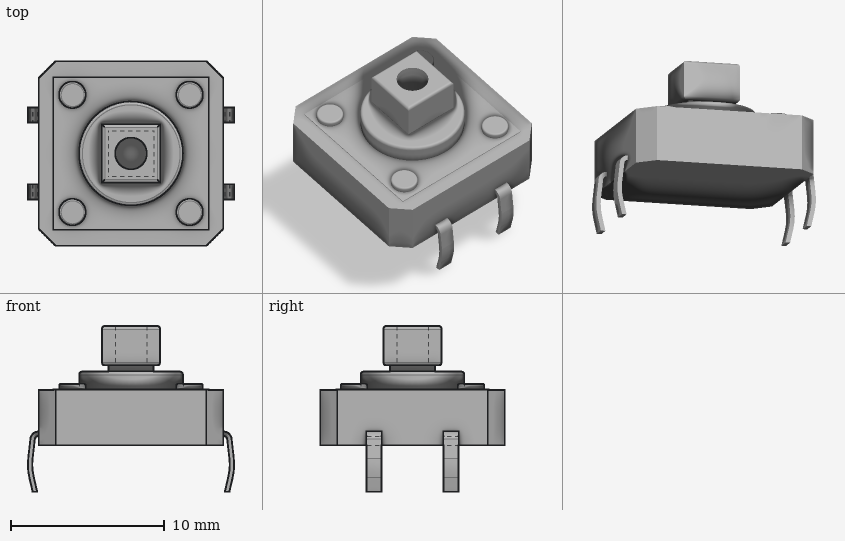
import cadquery as cq
import math


base_width = 12.0
base_depth = 12.01
base_height = 3.6
corner_chamfer = 1.1

plate_width = 10.1
plate_depth = 9.9
plate_thickness = 0.05

rivet_diameter = 1.73
rivet_spacing = 7.62
rivet_top = 4.0
rivet_fillet = 0.12

collar_diameter = 6.76
collar_top = 4.8
collar_fillet = 0.2

neck_side = 2.95
key_side = 3.78
key_bottom = 5.19
key_top = 7.76
key_fillet = 0.2
key_hole_diameter = 2.06
key_hole_depth = key_top - key_bottom

pin_span = 13.42
pin_width = 1.0
pin_pitch = 5.0
pin_thickness = 0.3
pin_tip = -3.03
pin_embed = 0.5
pin_bend_height = 0.36
pin_bow_radius = 3.7
pin_bow_height = -1.25
upper_lean = math.radians(6.5)
lower_lean = math.radians(13.0)


def make_base():
    block = cq.Workplane("XY").box(base_width, base_depth, base_height, centered=(True, True, False))
    return block.edges("|Z").chamfer(corner_chamfer)


def make_plate():
    plate = cq.Workplane("XY").workplane(offset=base_height)
    return plate.rect(plate_width, plate_depth).extrude(plate_thickness)


def make_rivets():
    rivets = cq.Workplane("XY").workplane(offset=base_height)
    rivets = rivets.rect(rivet_spacing, rivet_spacing, forConstruction=True).vertices()
    rivets = rivets.circle(rivet_diameter / 2).extrude(rivet_top - base_height)
    return rivets.faces(">Z").edges().fillet(rivet_fillet)


def make_collar():
    collar = cq.Workplane("XY").workplane(offset=base_height)
    collar = collar.circle(collar_diameter / 2).extrude(collar_top - base_height)
    return collar.faces(">Z").edges().fillet(collar_fillet)


def make_key():
    neck = cq.Workplane("XY").workplane(offset=collar_top)
    neck = neck.rect(neck_side, neck_side).extrude(key_bottom - collar_top)
    key = cq.Workplane("XY").workplane(offset=key_bottom)
    key = key.rect(key_side, key_side).extrude(key_top - key_bottom)
    key = key.faces("<Z or >Z").edges().fillet(key_fillet)
    key = key.faces(">Z").workplane().hole(key_hole_diameter, key_hole_depth)
    return neck.union(key)


bow_center = (pin_span / 2 - pin_bow_radius, pin_bow_height)
bend_center = (base_width / 2, pin_bend_height)
bend_run = bend_center[0] - bow_center[0]
bend_rise = bend_center[1] - bow_center[1]
pin_bend_radius = pin_bow_radius - bend_run * math.cos(upper_lean) - bend_rise * math.sin(upper_lean)


def on_arc(center, radius, angle):
    return (center[0] + radius * math.cos(angle), center[1] + radius * math.sin(angle))


def pin_side(inset):
    """Points along one side of the terminal, from the base outward and down to the tip."""
    bend_radius = pin_bend_radius - inset
    bow_radius = pin_bow_radius - inset
    bend_top = on_arc(bend_center, bend_radius, math.pi / 2)
    bend_middle = on_arc(bend_center, bend_radius, (math.pi / 2 + upper_lean) / 2)
    bend_end = on_arc(bend_center, bend_radius, upper_lean)
    bow_start = on_arc(bow_center, bow_radius, upper_lean)
    bow_middle = on_arc(bow_center, bow_radius, 0)
    bow_end = on_arc(bow_center, bow_radius, -lower_lean)
    tip = (bow_end[0] - (bow_end[1] - pin_tip) * math.tan(lower_lean), pin_tip)
    return bend_top, bend_middle, bend_end, bow_start, bow_middle, bow_end, tip


def make_pin():
    top, bend_mid, bend_end, bow_start, bow_mid, bow_end, tip = pin_side(0)
    in_top, in_bend_mid, in_bend_end, in_bow_start, in_bow_mid, in_bow_end, in_tip = pin_side(pin_thickness)
    root_x = base_width / 2 - pin_embed
    outline = (
        cq.Workplane("XZ")
        .moveTo(root_x, top[1])
        .lineTo(*top)
        .threePointArc(bend_mid, bend_end)
        .lineTo(*bow_start)
        .threePointArc(bow_mid, bow_end)
        .lineTo(*tip)
        .lineTo(*in_tip)
        .lineTo(*in_bow_end)
        .threePointArc(in_bow_mid, in_bow_start)
        .lineTo(*in_bend_end)
        .threePointArc(in_bend_mid, in_top)
        .lineTo(root_x, in_top[1])
        .close()
    )
    return outline.extrude(pin_width / 2, both=True)


result = make_base()
for piece in (make_plate(), make_rivets(), make_collar(), make_key()):
    result = result.union(piece)

right_pin = make_pin()
left_pin = right_pin.mirror("YZ")
for pin_y in (-pin_pitch / 2, pin_pitch / 2):
    for pin in (right_pin, left_pin):
        result = result.union(pin.translate((0, pin_y, 0)))